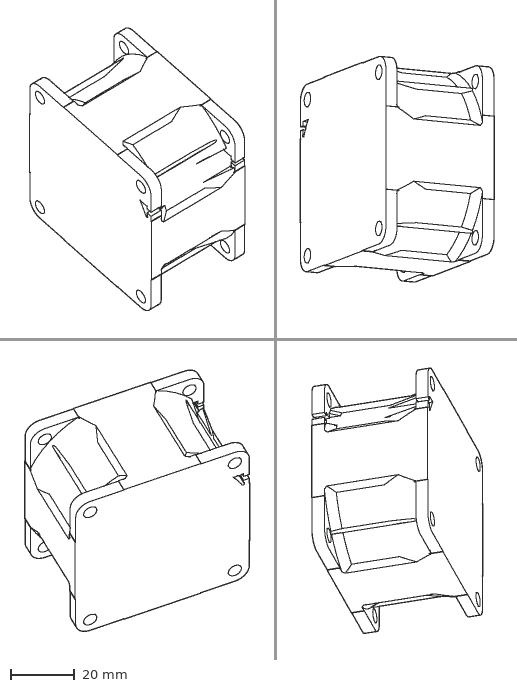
import cadquery as cq
import math

body_width = 60.35
depth = 38.0
front_y = -depth / 2
back_y = depth / 2

flange_width = 60.0
flange_corner_radius = 5.0
front_flange_thickness = 4.15
back_flange_thickness = 3.9
hole_diameter = 4.5
hole_offset = flange_width / 2 - flange_corner_radius
pad_width = 26.7

pocket_front_y = front_y + front_flange_thickness
pocket_back_y = back_y - back_flange_thickness
pocket_length = pocket_back_y - pocket_front_y
pocket_edge = 9.95
floor_radius = 30.7
floor_front_y = -11.45
floor_back_y = 4.3
front_cone_radius = 32.1
back_cone_radius = 32.95
ring_overlap = 1.2

rib_thickness = 1.0
rib_radius = 32.6

channel_top = 18.55
channel_outer = 28.0
channel_bulb_radius = 0.5
channel_bulb_x = 27.9
relief_low_angle = 26.3
relief_high_angle = 38.5
throat_centre = 16.55
front_throat_width = 1.8
back_throat_width = 1.25


def section_plane(y_position):
    """Plane across the fan axis, with local axes X and Z; extrusions run towards -Y."""
    return cq.Workplane("XZ", origin=(0, y_position, 0))


def prism(width, height):
    return section_plane(back_y).rect(width, height).extrude(depth)


def block():
    """Rounded square of flange size with a slightly raised pad on each side."""
    flange = prism(flange_width, flange_width).edges("|Y").fillet(flange_corner_radius)
    return flange.union(prism(body_width, pad_width)).union(prism(pad_width, body_width))


def flare(outer_radius, wide_y, narrow_y):
    """Ring round the casing that tapers from a flange down to the floor radius."""
    return (
        cq.Workplane("XY")
        .moveTo(floor_radius - ring_overlap, wide_y)
        .lineTo(outer_radius, wide_y)
        .lineTo(floor_radius, narrow_y)
        .lineTo(floor_radius - ring_overlap, narrow_y)
        .close()
        .revolve(360, (0, 0, 0), (0, 1, 0))
    )


def cable_relief():
    """Sector between two radial walls, outside the pocket floor, that clears the flares."""
    reach = body_width
    low = math.radians(relief_low_angle)
    high = math.radians(relief_high_angle)
    sketch = section_plane(back_y)
    sector = (
        sketch.lineTo(reach * math.cos(low), reach * math.sin(low))
        .lineTo(reach * math.cos(high), reach * math.sin(high))
        .close()
        .extrude(depth)
    )
    return sector.cut(sketch.circle(floor_radius).extrude(depth))


def flares():
    """Conical ends of the casing, from the pocket floors out to both flanges."""
    front_flare = flare(front_cone_radius, pocket_front_y, floor_front_y)
    back_flare = flare(back_cone_radius, pocket_back_y, floor_back_y)
    return front_flare.union(back_flare)


def pocket(turn, casing_flares):
    """Corner space outside a 45 degree wall, less the round casing, its flares and a rib."""
    half = body_width / 2
    triangle = (
        section_plane(pocket_back_y)
        .polyline([(pocket_edge, half), (half, half), (half, pocket_edge)])
        .close()
        .extrude(pocket_length)
    )
    cylinder = section_plane(pocket_back_y).circle(floor_radius).extrude(pocket_length)
    rib = (
        section_plane(pocket_back_y)
        .slot2D(2 * rib_radius, rib_thickness)
        .extrude(pocket_length)
        .rotate((0, 0, 0), (0, 1, 0), -45)
    )
    casing_core = cylinder.union(casing_flares)
    return triangle.cut(casing_core).cut(rib).rotate((0, 0, 0), (0, 1, 0), 90 * turn)


def mounting_holes():
    return (
        section_plane(back_y)
        .rect(2 * hole_offset, 2 * hole_offset, forConstruction=True)
        .vertices()
        .circle(hole_diameter / 2)
        .extrude(depth)
    )


def flange_channel(end_y, thickness, throat_width):
    """Slot through one flange: follows the casing, ends in a bulb and opens through +X."""
    throat_top = throat_centre + throat_width / 2
    throat_bottom = throat_centre - throat_width / 2
    bulb_centre = floor_radius + channel_bulb_radius
    bulb_z = math.sqrt(bulb_centre**2 - channel_bulb_x**2)
    start_x = math.sqrt(floor_radius**2 - channel_top**2)
    bulb_scale = floor_radius / bulb_centre
    end_x = channel_bulb_x * bulb_scale
    end_z = bulb_z * bulb_scale
    middle_angle = (math.atan2(channel_top, start_x) + math.atan2(end_z, end_x)) / 2
    middle = (floor_radius * math.cos(middle_angle), floor_radius * math.sin(middle_angle))
    bulb_rise = math.sqrt(channel_bulb_radius**2 - (channel_outer - channel_bulb_x) ** 2)
    return (
        section_plane(end_y)
        .moveTo(body_width, throat_top)
        .lineTo(channel_outer, throat_top)
        .lineTo(channel_outer, channel_top)
        .lineTo(start_x, channel_top)
        .threePointArc(middle, (end_x, end_z))
        .threePointArc((channel_bulb_x, bulb_z - channel_bulb_radius), (channel_outer, bulb_z + bulb_rise))
        .lineTo(channel_outer, throat_bottom)
        .lineTo(body_width, throat_bottom)
        .close()
        .extrude(thickness)
    )


front_channel = flange_channel(pocket_front_y, front_flange_thickness, front_throat_width)
back_channel = flange_channel(back_y, back_flange_thickness, back_throat_width)

plain_flares = flares()
casing = block().cut(pocket(0, plain_flares.cut(cable_relief())))
for turn in range(1, 4):
    casing = casing.cut(pocket(turn, plain_flares))
result = casing.cut(mounting_holes()).cut(front_channel).cut(back_channel)